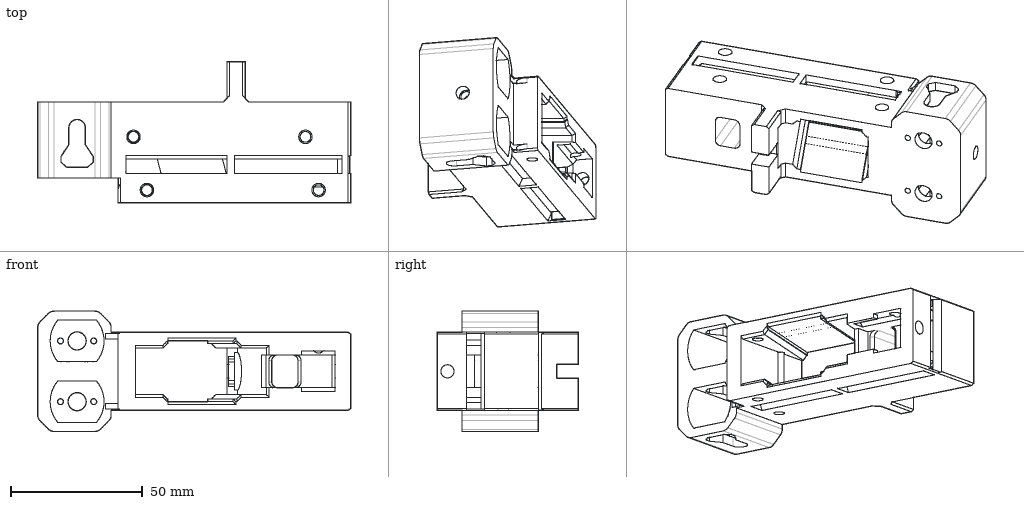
import cadquery as cq
import math

LENGTH = 118.8
HEAD_WIDTH = 27.9
HEAD_HEIGHT = 45.7
HEAD_FRONT = 9.4
BODY_LEFT = 30.4
BODY_BACK = 38.4
BODY_HALF_HEIGHT = 14.8
EDGE_BEVEL_X = 1.1
EDGE_BEVEL_Z = 0.7

ARM_LEFT, ARM_RIGHT, ARM_BACK = 71.7, 78.7, 53.5
ARM_FLARE = 1.3
ARM_SLOT_HALF = 2.6
ARM_SLOT_FLOOR, ARM_SLOT_STEP, ARM_SLOT_STEP_X = 43.2, 45.4, 74.8
BOSS_LEFT, BOSS_Y, BOSS_RADIUS = 74.7, 44.8, 7.4
HUB_LEFT = 72.4
HUB_PROFILE = [(41.1, 3.6), (41.8, 4.8), (43.0, 5.7)]

HEAD_CHAMFER, HEAD_FILLET = 5.0, 3.0
MOTOR_X, MOTOR_Z = 15.0, 11.5
MOTOR_HALF_WIDTH, MOTOR_FLAT_HALF, MOTOR_HALF_HEIGHT = 10.2, 7.4, 7.8
MOTOR_FLOOR = 4.0
SHAFT_DIAMETER, MOTOR_SCREW_DIAMETER, MOTOR_SCREW_OFFSET = 6.8, 2.1, 6.3
KEY_NECK_HALF, KEY_WIDE_HALF, KEY_FOOT_HALF = 3.1, 6.0, 3.9
KEY_FOOT_Y, KEY_WIDE_LOW_Y, KEY_WIDE_HIGH_Y, KEY_NECK_Y, KEY_TOP_Y = 13.5, 15.4, 17.6, 22.1, 31.6
HEAD_SCREW_Y, HEAD_SCREW_DEPTH = 21.4, 10.0

SCREW_DIAMETER, SCREW_CLEARANCE_DIAMETER, SCREW_CLEARANCE_DEPTH = 4.0, 5.1, 5.0
THROUGH_SCREWS = [(36.3, 25.0), (41.5, 4.9)]
BLIND_SCREWS = [(101.5, 25.0), (106.5, 4.9)]
BLIND_SCREW_FLOOR = 0.0
SIDE_SCREW_Y, SIDE_SCREW_DIAMETER = 3.9, 5.0

CAVITY_LEFT, CAVITY_RIGHT, ARM_RECESS_DEPTH = 37.2, 87.8, 43.0
CAVITY_HALF, CAVITY_WIDE_HALF = 8.8, 11.5
WIDE_LEFT, WIDE_RIGHT = 49.4, 75.2
RAMP_LEFT, RAMP_RIGHT, RAMP = 47.5, 77.2, 1.7
LEAD_IN = 1.1
WALL_LEAN = math.tan(math.radians(14.5))

CHANNEL_LEFT, CHANNEL_RIGHT = 86.6, 112.8
CHANNEL_HALF, CHANNEL_DEPTH, CHANNEL_LEDGE_DEPTH = 6.2, 14.2, 8.3
CHANNEL_BACK_RIGHT, CHANNEL_WALL_DEPTH = 111.6, 7.6
CHANNEL_WIDE_LEFT, CHANNEL_WIDE_HALF = 100.1, 7.7
GROOVE_LEFT, GROOVE_FRONT = 89.1, 2.4
WINDOW_LEFT, WINDOW_RIGHT, WINDOW_RADIUS, WINDOW_BEVEL = 88.8, 98.7, 2.1, 1.2

STRAP_FRONT, STRAP_BACK, STRAP_DEPTH, STRAP_SLOPE = 11.2, 18.0, 3.0, 1.4
STRAP_SLOTS = [(33.5, 71.7), (74.6, 115.3)]
STRAP_BEND_X = 113.8
STRAP_SIDE_HALF_HEIGHT = 14.4

TIE_LEFT, TIE_RIGHT, TIE_FRONT, TIE_BACK = 25.8, 35.6, 4.2, 11.6
TIE_LOW, TIE_HIGH = 12.2, 14.2


def box(x_range, y_range, z_range):
    """Box between three pairs of limits."""
    size = [high - low for low, high in (x_range, y_range, z_range)]
    corner = (x_range[0], y_range[0], z_range[0])
    return cq.Workplane("XY").box(*size, centered=False).translate(corner)


def plan_prism(points, z_low, z_high):
    """Prism over an XY outline."""
    return cq.Workplane("XY", origin=(0, 0, z_low)).polyline(points).close().extrude(z_high - z_low)


def front_plane(y):
    """Sketch plane at depth y, whose extrusions run toward +Y for negative lengths."""
    return cq.Workplane("XZ", origin=(0, y, 0))


def bevelled_bar(x_left, x_right, y_front, y_back):
    """Bar of body height, running along Y, with its four long edges bevelled."""
    half = BODY_HALF_HEIGHT
    low = half - EDGE_BEVEL_Z
    inner_left, inner_right = x_left + EDGE_BEVEL_X, x_right - EDGE_BEVEL_X
    outline = [
        (inner_left, half), (inner_right, half), (x_right, low), (x_right, -low),
        (inner_right, -half), (inner_left, -half), (x_left, -low), (x_left, low),
    ]
    return front_plane(y_front).polyline(outline).close().extrude(y_front - y_back)


def make_body():
    """Long body with the flared arm on its back."""
    arm = bevelled_bar(ARM_LEFT, ARM_RIGHT, BODY_BACK - 1.2, ARM_BACK)
    flare = plan_prism(
        [(ARM_LEFT - ARM_FLARE, BODY_BACK), (ARM_LEFT + EDGE_BEVEL_X, BODY_BACK + ARM_FLARE + EDGE_BEVEL_X),
         (ARM_RIGHT - EDGE_BEVEL_X, BODY_BACK + ARM_FLARE + EDGE_BEVEL_X), (ARM_RIGHT + ARM_FLARE, BODY_BACK)],
        -BODY_HALF_HEIGHT, BODY_HALF_HEIGHT)
    return bevelled_bar(BODY_LEFT, LENGTH, 0, BODY_BACK).union(arm).union(flare)


def make_head():
    """Motor head with chamfered, rounded corners and the web that joins it to the body."""
    head = box((0, HEAD_WIDTH), (HEAD_FRONT, BODY_BACK), (-HEAD_HEIGHT / 2, HEAD_HEIGHT / 2))
    head = head.edges("|Y").chamfer(HEAD_CHAMFER).edges("|Y").fillet(HEAD_FILLET)
    web = box((HEAD_WIDTH - 1.2, BODY_LEFT + EDGE_BEVEL_X), (HEAD_FRONT, BODY_BACK),
              (-BODY_HALF_HEIGHT, BODY_HALF_HEIGHT))
    return head.union(web)


def wall_shift(y):
    """Shift in X of the leaning walls at depth y."""
    return -WALL_LEAN * max(0, y - LEAD_IN)


def cavity_wall(y):
    """X of the cavity's right-hand wall at depth y behind the lead-in."""
    return CAVITY_RIGHT - LEAD_IN + wall_shift(y)


def cavity_outline(y, lead):
    """Cavity section at depth y, enlarged by lead on the top, bottom and right."""
    shift = wall_shift(y)
    right, wide_right = (x - LEAD_IN + lead + shift for x in (CAVITY_RIGHT, WIDE_RIGHT))
    wide_left, ramp_left, ramp_right = (x + shift for x in (WIDE_LEFT, RAMP_LEFT, RAMP_RIGHT))
    half, wide = CAVITY_HALF + lead, CAVITY_WIDE_HALF + lead
    step = half + RAMP
    upper = [
        (CAVITY_LEFT, half), (ramp_left, half), (ramp_left + RAMP, step), (wide_left, step),
        (wide_left, wide), (wide_right, wide), (wide_right, step), (ramp_right - RAMP, step),
        (ramp_right, half), (right, half),
    ]
    return upper + [(x, -z) for x, z in reversed(upper)]


def make_cavity():
    """Leaning cavity with a lead-in bevel at the front and a recess into the arm at the back."""
    recess_left = ARM_LEFT - ARM_FLARE
    cavity = plan_prism(
        [(recess_left, BODY_BACK), (cavity_wall(BODY_BACK), BODY_BACK),
         (cavity_wall(ARM_RECESS_DEPTH), ARM_RECESS_DEPTH), (recess_left, ARM_RECESS_DEPTH)],
        -CAVITY_HALF, CAVITY_HALF)
    stations = [(0, LEAD_IN), (LEAD_IN, 0), (BODY_BACK, 0)]
    for (y_near, lead_near), (y_far, lead_far) in zip(stations, stations[1:]):
        part = (front_plane(y_near).polyline(cavity_outline(y_near, lead_near)).close()
                .workplane(offset=y_near - y_far).polyline(cavity_outline(y_far, lead_far)).close()
                .loft(ruled=True))
        cavity = cavity.union(part)
    return cavity


def mirrored_prism_along_x(half_profile, x_left, x_right):
    """Prism along X whose YZ outline is a half profile and its mirror image in Z."""
    outline = half_profile + [(y, -z) for y, z in reversed(half_profile)]
    return cq.Workplane("YZ", origin=(x_left, 0, 0)).polyline(outline).close().extrude(x_right - x_left)


def make_boss():
    """Round boss with a flat-nosed hub inside the arm, on an axis along X."""
    boss = cq.Workplane("YZ", origin=(BOSS_LEFT, BOSS_Y, 0)).circle(BOSS_RADIUS).extrude(ARM_RIGHT - BOSS_LEFT)
    return boss.union(mirrored_prism_along_x(HUB_PROFILE, HUB_LEFT, BOSS_LEFT))


def make_arm_slot():
    """Slot in the end of the arm with a stepped floor."""
    outline = [(ARM_LEFT, ARM_SLOT_FLOOR), (ARM_SLOT_STEP_X, ARM_SLOT_FLOOR),
               (ARM_SLOT_STEP_X, ARM_SLOT_STEP), (ARM_RIGHT, ARM_SLOT_STEP),
               (ARM_RIGHT, ARM_BACK), (ARM_LEFT, ARM_BACK)]
    return plan_prism(outline, -ARM_SLOT_HALF, ARM_SLOT_HALF)


def make_channel():
    """Channel beside the cavity: ledge, side exit to the strap path, wide groove and back window."""
    strap_floor = LENGTH - STRAP_DEPTH
    exit_run = strap_floor - CHANNEL_RIGHT
    exit_back = STRAP_BACK - STRAP_SLOPE
    back_run = exit_back - CHANNEL_DEPTH
    ledge_left = cavity_wall(CHANNEL_LEDGE_DEPTH)
    outline = [
        (ledge_left, 0), (CHANNEL_RIGHT, 0), (CHANNEL_RIGHT, CHANNEL_WALL_DEPTH),
        (strap_floor, CHANNEL_WALL_DEPTH + exit_run), (strap_floor, exit_back),
        (CHANNEL_BACK_RIGHT + back_run, exit_back), (CHANNEL_BACK_RIGHT, CHANNEL_DEPTH),
        (CHANNEL_LEFT, CHANNEL_DEPTH), (CHANNEL_LEFT, CHANNEL_LEDGE_DEPTH),
        (ledge_left, CHANNEL_LEDGE_DEPTH),
    ]
    channel = plan_prism(outline, -CHANNEL_HALF, CHANNEL_HALF)

    taper_start = CHANNEL_WALL_DEPTH - (CHANNEL_WIDE_HALF - CHANNEL_HALF)
    taper = [(taper_start, CHANNEL_WIDE_HALF), (CHANNEL_WALL_DEPTH, CHANNEL_HALF)]
    groove = mirrored_prism_along_x([(GROOVE_FRONT, CHANNEL_WIDE_HALF)] + taper, GROOVE_LEFT, CHANNEL_RIGHT)
    mouth = mirrored_prism_along_x([(0, CHANNEL_WIDE_HALF)] + taper, CHANNEL_WIDE_LEFT, CHANNEL_RIGHT)

    window_x, window_width = (WINDOW_LEFT + WINDOW_RIGHT) / 2, WINDOW_RIGHT - WINDOW_LEFT
    inner = cq.Sketch().rect(window_width, 2 * CHANNEL_HALF).vertices().fillet(WINDOW_RADIUS)
    outer = cq.Sketch().rect(window_width + 2 * WINDOW_BEVEL, 2 * CHANNEL_HALF).vertices().fillet(WINDOW_RADIUS)
    plane = cq.Workplane("XZ", origin=(window_x, CHANNEL_DEPTH, 0))
    window = plane.placeSketch(inner).extrude(CHANNEL_DEPTH - BODY_BACK)
    window_rim = plane.placeSketch(outer, inner.moved(cq.Location(cq.Vector(0, 0, -WINDOW_BEVEL)))).loft()
    return channel.union(groove).union(mouth).union(window).union(window_rim)


def make_strap_path():
    """Strap slots on top and bottom, joined round the right-hand end of the body."""
    floor = BODY_HALF_HEIGHT - STRAP_DEPTH
    section = [(STRAP_FRONT, BODY_HALF_HEIGHT), (STRAP_BACK, BODY_HALF_HEIGHT),
               (STRAP_BACK - STRAP_SLOPE, floor), (STRAP_FRONT, floor)]
    strap_floor = LENGTH - STRAP_DEPTH
    slope_foot = STRAP_BACK - STRAP_SLOPE
    bend_drop = strap_floor - STRAP_BEND_X
    bend = [(strap_floor, floor - bend_drop), (STRAP_BEND_X, floor),
            (STRAP_BEND_X, STRAP_SIDE_HALF_HEIGHT), (LENGTH, STRAP_SIDE_HALF_HEIGHT)]
    bend_outline = bend + [(x, -z) for x, z in reversed(bend)]
    path = front_plane(STRAP_FRONT).polyline(bend_outline).close().extrude(STRAP_FRONT - slope_foot)
    side_slot = plan_prism(
        [(strap_floor, STRAP_FRONT), (LENGTH, STRAP_FRONT), (LENGTH, STRAP_BACK), (strap_floor, slope_foot)],
        -STRAP_SIDE_HALF_HEIGHT, STRAP_SIDE_HALF_HEIGHT)
    path = path.union(side_slot)
    for left, right in STRAP_SLOTS:
        slot = cq.Workplane("YZ", origin=(left, 0, 0)).polyline(section).close().extrude(right - left)
        path = path.union(slot).union(slot.mirror("XY"))
    return path


def make_tie_passages():
    """Curved cable-tie passages, above and below the middle plane."""
    round_radius = HEAD_FRONT - TIE_FRONT
    diagonal = round_radius * math.sqrt(0.5)
    arc_middle = (BODY_LEFT + round_radius - diagonal, TIE_FRONT + diagonal)
    passage = (cq.Workplane("XY", origin=(0, 0, TIE_LOW)).moveTo(BODY_LEFT, TIE_FRONT)
               .threePointArc(arc_middle, (BODY_LEFT + round_radius, HEAD_FRONT))
               .lineTo(TIE_RIGHT, TIE_BACK).lineTo(TIE_LEFT, TIE_BACK).lineTo(TIE_LEFT, HEAD_FRONT)
               .lineTo(BODY_LEFT, HEAD_FRONT).close().extrude(TIE_HIGH - TIE_LOW))
    return passage.union(passage.mirror("XY"))


def make_motor_mount(z):
    """Motor pocket with two rounded sides, its shaft hole and its two screw holes."""
    depth = BODY_BACK - HEAD_FRONT
    flat, half = MOTOR_FLAT_HALF, MOTOR_HALF_HEIGHT
    plane = cq.Workplane("XZ", origin=(MOTOR_X, HEAD_FRONT, z))
    pocket = (plane.moveTo(-flat, half).lineTo(flat, half)
              .threePointArc((MOTOR_HALF_WIDTH, 0), (flat, -half)).lineTo(-flat, -half)
              .threePointArc((-MOTOR_HALF_WIDTH, 0), (-flat, half)).close()
              .extrude(MOTOR_FLOOR - depth))
    shaft = plane.circle(SHAFT_DIAMETER / 2).extrude(-depth)
    screws = (plane.pushPoints([(-MOTOR_SCREW_OFFSET, 0), (MOTOR_SCREW_OFFSET, 0)])
              .circle(MOTOR_SCREW_DIAMETER / 2).extrude(-depth))
    return pocket.union(shaft).union(screws)


def make_keyhole():
    """Keyhole opening through the full height of the head."""
    neck_centre_y = KEY_TOP_Y - KEY_NECK_HALF
    return (cq.Workplane("XY", origin=(MOTOR_X, 0, -HEAD_HEIGHT / 2))
            .moveTo(-KEY_FOOT_HALF, KEY_FOOT_Y).lineTo(KEY_FOOT_HALF, KEY_FOOT_Y)
            .lineTo(KEY_WIDE_HALF, KEY_WIDE_LOW_Y).lineTo(KEY_WIDE_HALF, KEY_WIDE_HIGH_Y)
            .lineTo(KEY_NECK_HALF, KEY_NECK_Y).lineTo(KEY_NECK_HALF, neck_centre_y)
            .threePointArc((0, KEY_TOP_Y), (-KEY_NECK_HALF, neck_centre_y))
            .lineTo(-KEY_NECK_HALF, KEY_NECK_Y).lineTo(-KEY_WIDE_HALF, KEY_WIDE_HIGH_Y)
            .lineTo(-KEY_WIDE_HALF, KEY_WIDE_LOW_Y).close().extrude(HEAD_HEIGHT))


def screw_hole(depth):
    """Screw hole along -Z from the origin, with a wider clearance bore at its mouth."""
    clearance = cq.Workplane("XY").circle(SCREW_CLEARANCE_DIAMETER / 2).extrude(-SCREW_CLEARANCE_DEPTH)
    return cq.Workplane("XY").circle(SCREW_DIAMETER / 2).extrude(-depth).union(clearance)


def make_screw_holes():
    """Screw holes in the body, the head and the right-hand wall."""
    side_plane = cq.Workplane("YZ", origin=(CHANNEL_RIGHT, SIDE_SCREW_Y, 0))
    holes = side_plane.circle(SIDE_SCREW_DIAMETER / 2).extrude(LENGTH - CHANNEL_RIGHT)
    head_screw = screw_hole(HEAD_SCREW_DEPTH).rotate((0, 0, 0), (0, 1, 0), -90)
    holes = holes.union(head_screw.translate((0, HEAD_SCREW_Y, 0)))
    through = screw_hole(2 * BODY_HALF_HEIGHT)
    blind = screw_hole(BODY_HALF_HEIGHT - BLIND_SCREW_FLOOR)
    for hole, places in ((through, THROUGH_SCREWS), (blind, BLIND_SCREWS)):
        for x, y in places:
            holes = holes.union(hole.translate((x, y, BODY_HALF_HEIGHT)))
    return holes


result = make_body().cut(make_cavity()).union(make_boss()).union(make_head())
result = result.cut(make_arm_slot()).cut(make_channel()).cut(make_strap_path()).cut(make_tie_passages())
for motor_z in (-MOTOR_Z, MOTOR_Z):
    result = result.cut(make_motor_mount(motor_z))
result = result.cut(make_keyhole()).cut(make_screw_holes())